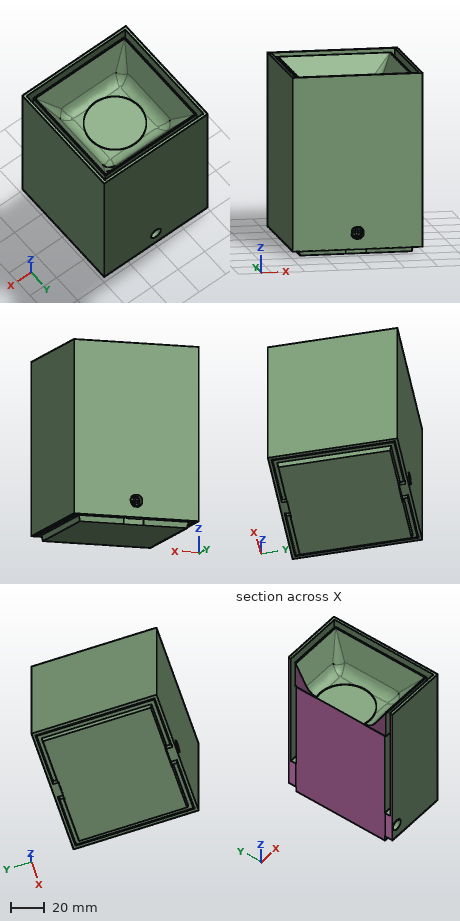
import cadquery as cq
import math

TOTAL_HEIGHT = 108.4
HOUSING_SIDE = 78.0
HOUSING_WALL = 1.8
HOUSING_BOTTOM = 3.6
HOUSING_BORE = HOUSING_SIDE - 2 * HOUSING_WALL

BASE_GAP = 0.7
BASE_SIDE = HOUSING_BORE - 2 * BASE_GAP
FOOT_TOP_SIDE = 68.5
FOOT_BOTTOM_SIDE = 67.2

NOTCH_WIDTH = 12.4
NOTCH_FLOOR = 33.4
BOSS_WIDTH = 8.7

SCREW_HEIGHT = 13.4
SCREW_DIAMETER = 7.4
SCREW_LENGTH = 8.7
SCREW_FACE = HOUSING_SIDE / 2 - 3.7
SCREW_CHAMFER = 0.8
RECESS_SPAN = 4.3
RECESS_WIDTH = 1.3
RECESS_DEPTH = 1.5
BOSS_HEIGHT = 2 * (SCREW_HEIGHT - HOUSING_BOTTOM)

REFLECTOR_TOP = TOTAL_HEIGHT - 1.8
REFLECTOR_SIDE = 68.7
POCKET_SIDE = 67.2
POCKET_DEPTH = 18.4
POCKET_WALL_SLOPE = math.radians(30)
POCKET_FLOOR_SIDE = POCKET_SIDE - 2 * POCKET_DEPTH * math.tan(POCKET_WALL_SLOPE)
POCKET_TOP_CORNER = 0.1
POCKET_FLOOR_CORNER = 6.5
POCKET_FILLET = 9.1
WINDOW_DIAMETER = 37.1
REFLECTOR_FLOOR = 0.5
POCKET_FLOOR = REFLECTOR_TOP - POCKET_DEPTH
BASE_TOP = POCKET_FLOOR - REFLECTOR_FLOOR


def square_prism(side, bottom, top):
    """Upright square block centred on the Z axis."""
    return cq.Workplane("XY").workplane(offset=bottom).rect(side, side).extrude(top - bottom)


def facing_both_sides(shape):
    """The shape on the -Y side and its copy on the +Y side."""
    return [shape.rotate((0, 0, 0), (0, 0, 1), angle) for angle in (0, 180)]


def make_housing():
    housing = square_prism(HOUSING_SIDE, HOUSING_BOTTOM, TOTAL_HEIGHT)
    housing = housing.cut(square_prism(HOUSING_BORE, HOUSING_BOTTOM, TOTAL_HEIGHT))
    boss_depth = HOUSING_SIDE / 2 - NOTCH_FLOOR
    boss = (
        cq.Workplane("XY")
        .box(BOSS_WIDTH, boss_depth, BOSS_HEIGHT)
        .translate((0, -NOTCH_FLOOR - boss_depth / 2, SCREW_HEIGHT))
    )
    screw_hole = (
        cq.Workplane("XZ", origin=(0, -NOTCH_FLOOR, SCREW_HEIGHT))
        .circle(SCREW_DIAMETER / 2)
        .extrude(boss_depth)
    )
    for side_boss in facing_both_sides(boss):
        housing = housing.union(side_boss)
    for side_hole in facing_both_sides(screw_hole):
        housing = housing.cut(side_hole)
    return housing


def make_base():
    foot = (
        cq.Workplane("XY")
        .rect(FOOT_BOTTOM_SIDE, FOOT_BOTTOM_SIDE)
        .workplane(offset=HOUSING_BOTTOM)
        .rect(FOOT_TOP_SIDE, FOOT_TOP_SIDE)
        .loft(ruled=True)
    )
    base = square_prism(BASE_SIDE, HOUSING_BOTTOM, BASE_TOP).union(foot)
    notch_depth = HOUSING_SIDE / 2 - NOTCH_FLOOR
    notch = (
        cq.Workplane("XY")
        .box(NOTCH_WIDTH, notch_depth, BASE_TOP, centered=(True, True, False))
        .translate((0, -NOTCH_FLOOR - notch_depth / 2, 0))
    )
    for side_notch in facing_both_sides(notch):
        base = base.cut(side_notch)
    for side_screw in facing_both_sides(screw_blank()):
        base = base.cut(side_screw)
    return base


def screw_blank():
    """Plain cylinder of the -Y screw, also the shape of its hole in the base."""
    return (
        cq.Workplane("XZ", origin=(0, -SCREW_FACE, SCREW_HEIGHT))
        .circle(SCREW_DIAMETER / 2)
        .extrude(-SCREW_LENGTH)
    )


def make_screw():
    """Screw of the -Y side, with a chamfered outer end and a cross recess with sloping arms."""
    arm = (
        cq.Workplane("XY")
        .polyline([
            (-RECESS_SPAN / 2, -SCREW_FACE),
            (RECESS_SPAN / 2, -SCREW_FACE),
            (RECESS_WIDTH / 2, -SCREW_FACE + RECESS_DEPTH),
            (-RECESS_WIDTH / 2, -SCREW_FACE + RECESS_DEPTH),
        ])
        .close()
        .extrude(RECESS_WIDTH / 2, both=True)
    )
    screw = screw_blank().faces("<Y").chamfer(SCREW_CHAMFER)
    for angle in (0, 90):
        screw = screw.cut(arm.rotate((0, 0, 0), (0, 1, 0), angle).translate((0, 0, SCREW_HEIGHT)))
    return screw


def rounded_square(side, corner, height):
    """Horizontal outline of a square with rounded corners."""
    outline = cq.Sketch().rect(side, side).vertices().fillet(corner)
    return outline.moved(cq.Location(cq.Vector(0, 0, height)))


def make_pocket():
    """Flared pocket whose corners narrow almost to a point at the rim, filleted around its floor."""
    floor_outline = rounded_square(POCKET_FLOOR_SIDE, POCKET_FLOOR_CORNER, POCKET_FLOOR)
    rim_outline = rounded_square(POCKET_SIDE, POCKET_TOP_CORNER, REFLECTOR_TOP)
    flare = cq.Workplane("XY").placeSketch(floor_outline, rim_outline).loft(ruled=True)
    return flare.faces("<Z").edges().fillet(POCKET_FILLET)


def make_reflector():
    window = (
        cq.Workplane("XY", origin=(0, 0, BASE_TOP))
        .circle(WINDOW_DIAMETER / 2)
        .extrude(REFLECTOR_FLOOR + POCKET_FILLET)
    )
    return square_prism(REFLECTOR_SIDE, BASE_TOP, REFLECTOR_TOP).cut(make_pocket()).cut(window)


housing = make_housing()
base = make_base()
reflector = make_reflector()
screws = facing_both_sides(make_screw())

result = cq.Compound.makeCompound(
    [housing.val(), base.val(), reflector.val(), *[screw.val() for screw in screws]]
)